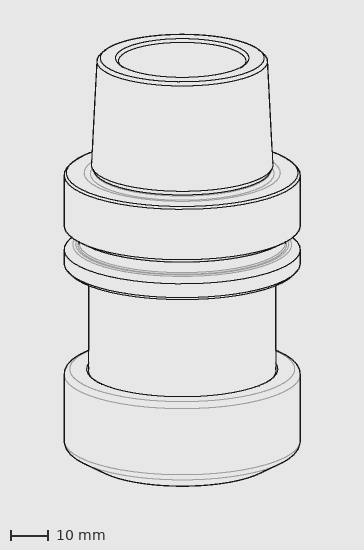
import cadquery as cq
import math

total_height = 112.03
outer_diameter = 63.0
outer_radius = outer_diameter / 2

nut_height = 25.4
nut_face_radius = 24.0
nut_cone_angle = math.radians(30)
nut_lower_round = 2.0
nut_top_round = 1.5
nut_mouth_chamfer = 0.5

body_radius = 25.0
body_fillet = 1.0

shank_length = 32.0
flange_width = 26.0
flange_top = total_height - shank_length
flange_bottom = flange_top - flange_width
flange_top_chamfer = 0.6
flange_bottom_chamfer = 0.8

groove_offset = 18.0
groove_center = flange_top - groove_offset
groove_root_radius = 27.5
groove_wall_width = 3.6
groove_mouth_width = 6.7
groove_flare_angle = math.radians(30)
groove_lip_round = 1.5
groove_root_fillet = 0.35

relief_outer_radius = 26.15
relief_inner_radius = 24.5
relief_depth = 0.2
neck_radius = 23.6
neck_height = 1.0

taper_ratio = 1 / 10
gauge_diameter = 48.01
gauge_radius = gauge_diameter / 2
gauge_offset = 6.3
gauge_height = flange_top + gauge_offset
taper_offset = 2.2
taper_start = flange_top + taper_offset
shank_top_chamfer = 0.9
bore_radius = 17.0
bore_depth = shank_length
bore_chamfer = 0.8


def taper_radius(z):
    """Radius of the shank cone at height z."""
    return gauge_radius - (z - gauge_height) * taper_ratio / 2


def lower_nut_edge():
    """Ends and middle of the arc that blends the nut's lower cone into its cylinder."""
    corner_z = (outer_radius - nut_face_radius) * math.tan(nut_cone_angle)
    turn = math.pi / 2 - nut_cone_angle
    tangent = nut_lower_round * math.tan(turn / 2)
    center_r = outer_radius - nut_lower_round
    center_z = corner_z + tangent

    def on_arc(angle):
        return (
            center_r + nut_lower_round * math.cos(angle),
            center_z - nut_lower_round * math.sin(angle),
        )

    return on_arc(turn), on_arc(turn / 2), on_arc(0)


def round_middle(center_r, center_z, radius, side_r, side_z):
    """Middle of a quarter round; the sides (+1 or -1) pick its quadrant about the center."""
    reach = radius * math.sqrt(0.5)
    return (center_r + side_r * reach, center_z + side_z * reach)


def make_body():
    """Revolve the full outer profile, from the bottom face up to the shank end."""
    cone_end, cone_round_middle, cone_round_end = lower_nut_edge()
    top_round_middle = round_middle(
        outer_radius - nut_top_round, nut_height - nut_top_round, nut_top_round, 1, 1
    )
    fillet_r = body_radius + body_fillet
    fillet_z = flange_bottom - body_fillet
    body_fillet_middle = round_middle(fillet_r, fillet_z, body_fillet, -1, 1)
    relief_floor = flange_top - relief_depth
    relief_round = relief_inner_radius - neck_radius
    relief_round_z = relief_floor + relief_round
    shank_chamfer_z = total_height - shank_top_chamfer
    shank_chamfer_r = taper_radius(shank_chamfer_z)

    profile = (
        cq.Workplane("XZ")
        .moveTo(0, 0)
        .lineTo(nut_face_radius, 0)
        .lineTo(*cone_end)
        .threePointArc(cone_round_middle, cone_round_end)
        .lineTo(outer_radius, nut_height - nut_top_round)
        .threePointArc(top_round_middle, (outer_radius - nut_top_round, nut_height))
        .lineTo(body_radius + nut_mouth_chamfer, nut_height)
        .lineTo(body_radius, nut_height - nut_mouth_chamfer)
        .lineTo(body_radius, fillet_z)
        .threePointArc(body_fillet_middle, (fillet_r, flange_bottom))
        .lineTo(outer_radius - flange_bottom_chamfer, flange_bottom)
        .lineTo(outer_radius, flange_bottom + flange_bottom_chamfer)
        .lineTo(outer_radius, flange_top - flange_top_chamfer)
        .lineTo(outer_radius - flange_top_chamfer, flange_top)
        .lineTo(relief_outer_radius, flange_top)
        .lineTo(relief_inner_radius, relief_floor)
        .threePointArc(
            round_middle(relief_inner_radius, relief_round_z, relief_round, -1, -1),
            (neck_radius, relief_round_z),
        )
        .lineTo(neck_radius, flange_top + neck_height)
        .lineTo(taper_radius(taper_start), taper_start)
        .lineTo(shank_chamfer_r, shank_chamfer_z)
        .lineTo(shank_chamfer_r - shank_top_chamfer, total_height)
        .lineTo(0, total_height)
        .close()
    )
    return profile.revolve(360, (0, 0, 0), (0, 1, 0))


def make_bore():
    """Blind bore of the hollow shank, with its chamfered mouth."""
    floor_z = total_height - bore_depth
    profile = (
        cq.Workplane("XZ")
        .moveTo(0, floor_z)
        .lineTo(bore_radius, floor_z)
        .lineTo(bore_radius, total_height - bore_chamfer)
        .lineTo(bore_radius + bore_chamfer, total_height)
        .lineTo(0, total_height)
        .close()
    )
    return profile.revolve(360, (0, 0, 0), (0, 1, 0))


def make_groove():
    """Ring to cut for the gripper groove: flat walls, filleted root and flared mouth."""
    half_wall = groove_wall_width / 2
    half_mouth = groove_mouth_width / 2
    flare_length = (half_mouth - half_wall) / math.tan(groove_flare_angle)
    lip_corner_r = outer_radius - flare_length
    lip_tangent = groove_lip_round * math.tan(groove_flare_angle / 2)
    lip_center_r = lip_corner_r - lip_tangent
    root_center_r = groove_root_radius + groove_root_fillet
    root_center_offset = half_wall - groove_root_fillet

    def level(side, offset):
        return groove_center + side * offset

    def lip_point(side, angle):
        return (
            lip_center_r + groove_lip_round * math.sin(angle),
            level(side, half_wall + groove_lip_round * (1 - math.cos(angle))),
        )

    def root_middle(side):
        return round_middle(
            root_center_r, level(side, root_center_offset), groove_root_fillet, -1, side
        )

    profile = (
        cq.Workplane("XZ")
        .moveTo(outer_radius, level(-1, half_mouth))
        .lineTo(*lip_point(-1, groove_flare_angle))
        .threePointArc(lip_point(-1, groove_flare_angle / 2), lip_point(-1, 0))
        .lineTo(root_center_r, level(-1, half_wall))
        .threePointArc(root_middle(-1), (groove_root_radius, level(-1, root_center_offset)))
        .lineTo(groove_root_radius, level(1, root_center_offset))
        .threePointArc(root_middle(1), (root_center_r, level(1, half_wall)))
        .lineTo(*lip_point(1, 0))
        .threePointArc(lip_point(1, groove_flare_angle / 2), lip_point(1, groove_flare_angle))
        .lineTo(outer_radius, level(1, half_mouth))
        .close()
    )
    return profile.revolve(360, (0, 0, 0), (0, 1, 0))


result = make_body().cut(make_groove()).cut(make_bore())